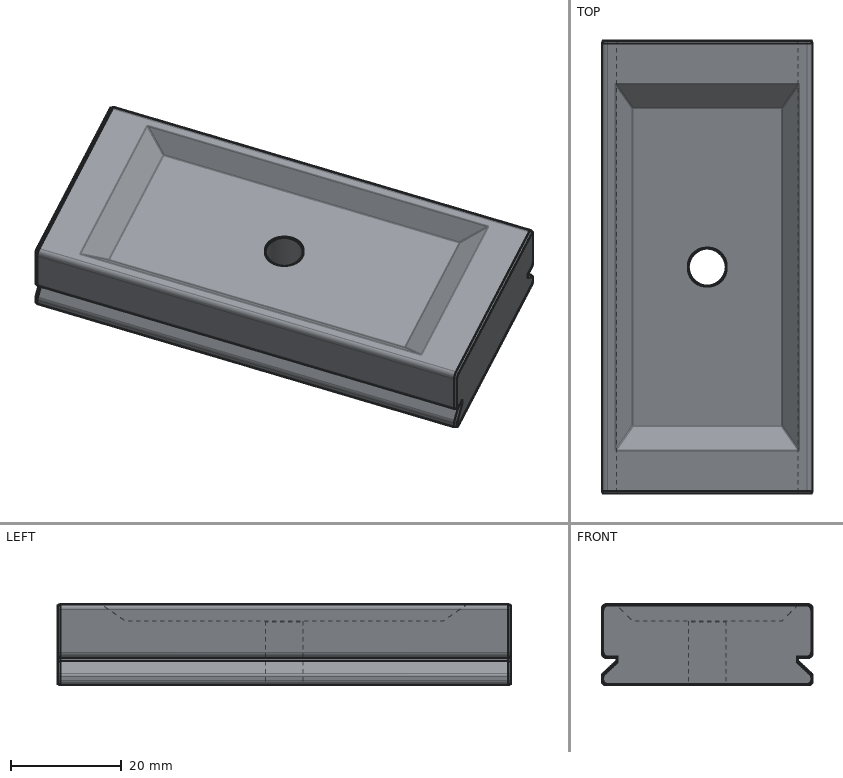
import cadquery as cq

width = 38.1
length = 82
height = 14.7
long_edge_radius = 1.0
bottom_edge_radius = 0.8
end_chamfer_along = 0.5
end_chamfer_inset = 0.25

groove_depth = 2.6
groove_roof_z = 4.9
groove_wall_bottom_z = 4.35
groove_mouth_z = 1.9
groove_lip_radius = 0.8

pocket_width = 33.2
pocket_length = 66.3
pocket_floor_width = 27.1
pocket_floor_length = 57.6
pocket_depth = 3.0
pocket_edge_radius = 0.25
hole_diameter = 6.7
hole_chamfer = 0.2


def make_block():
    """Extrude the grooved cross-section along Y, centred on the origin."""
    side = width / 2
    groove_wall = side - groove_depth
    right_side = [
        (side, 0),
        (side, groove_mouth_z),
        (groove_wall, groove_wall_bottom_z),
        (groove_wall, groove_roof_z),
        (side, groove_roof_z),
        (side, height),
    ]
    left_side = [(-x, z) for x, z in reversed(right_side)]
    profile = cq.Workplane("XZ").polyline(right_side + left_side).close()
    return profile.extrude(length / 2, both=True)


def round_long_edges(block, z, radius):
    """Round the two outer long edges at height z."""
    margin = 0.1
    zone = cq.selectors.BoxSelector(
        (-width, -length, z - margin), (width, length, z + margin)
    )
    outer_edges = block.edges("|Y").edges(zone).filter(
        lambda edge: abs(edge.Center().x) > width / 2 - margin
    )
    return outer_edges.fillet(radius)


def chamfer_ends(block):
    """Bevel the outline of both end faces, longer along Y than across it."""
    ends = block.faces("<Y or >Y").vals()
    solid = block.val()
    for end in ends:
        solid = solid.chamfer(end_chamfer_inset, end_chamfer_along, end.Edges())
    return cq.Workplane(solid)


def make_pocket():
    """Tapered pocket volume, narrowing from the top face to its floor."""
    taper = (
        cq.Workplane("XY", origin=(0, 0, height))
        .rect(pocket_width, pocket_length)
        .workplane(offset=-pocket_depth)
        .rect(pocket_floor_width, pocket_floor_length)
        .loft(ruled=True)
    )
    return taper.edges("not >Z").fillet(pocket_edge_radius)


def round_pocket_rim(block):
    """Round the edges where the pocket opens through the top face."""
    rim = block.faces(">Z").val().innerWires()[0]
    return cq.Workplane(block.val().fillet(pocket_edge_radius, rim.Edges()))


block = make_block()
block = round_long_edges(block, height, long_edge_radius)
block = round_long_edges(block, groove_roof_z, long_edge_radius)
block = round_long_edges(block, groove_mouth_z, groove_lip_radius)
block = round_long_edges(block, 0, bottom_edge_radius)
block = block.cut(make_pocket())
block = round_pocket_rim(block)
block = chamfer_ends(block)


hole = cq.Workplane("XY").circle(hole_diameter / 2).extrude(height)
pocket_floor_z = height - pocket_depth
countersink = (
    cq.Workplane("XY", origin=(0, 0, pocket_floor_z))
    .circle(hole_diameter / 2 + hole_chamfer)
    .workplane(offset=-hole_chamfer)
    .circle(hole_diameter / 2)
    .loft()
)
result = block.cut(hole).cut(countersink)